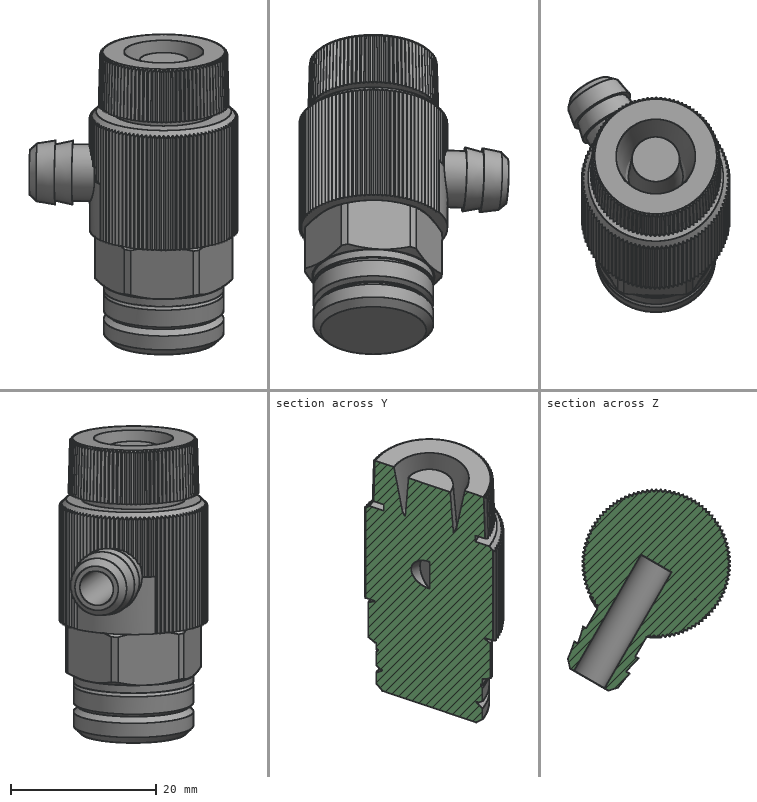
import cadquery as cq
import math

total_height = 41.4
spigot_top = 8.32
hex_top = 15.85
body_top = 32.85
cap_bottom = 33.85

spigot_radius = 8.3
end_chamfer = 1.0
lower_groove_bottom = 3.0
lower_groove_top = 4.25
lower_groove_wall_z = 3.75
lower_groove_radius = 7.3
groove_lip_radius = 7.65
upper_groove_bottom = 6.7
upper_groove_top = 7.2
upper_groove_radius = 7.95

hex_across_flats = 16.9
hex_turned_radius = 9.5
hex_chamfer_radius = 8.45
hex_chamfer_height = 0.6

body_radius = 10.23
body_chamfer = 0.9
body_teeth = 102
neck_radius = 7.12

cap_bottom_radius = 9.0
cap_top_radius = 8.78
cap_chamfer = 0.37
cap_teeth = 90
tooth_depth = 0.35

recess_top_radius = 5.45
recess_wall_radius = 4.15
recess_floor_radius = 3.75
recess_wall_depth = 7.55
recess_depth = 8.3
button_top_radius = 3.25
button_recess = 1.1

nozzle_angle = 240.0
nozzle_z = 23.9
nozzle_radius = 3.95
barb_radius = 4.45
barb_root_radius = 3.9
barb_starts = (12.55, 14.95)
nose_start = 17.47
nose_radius = 4.0
nozzle_tip_radius = 3.1
nozzle_length = 18.45
bore_radius = 2.4

pad_half_width = 5.6


def revolve_profile(points):
    """Turn a closed (radius, height) outline around the Z axis."""
    return cq.Workplane("XZ").polyline(points).close().revolve(360, (0, 0, 0), (0, 1, 0))


def knurl_points(tip_radius, teeth):
    """Star outline of V-shaped teeth with one tip on the +Y axis."""
    points = []
    for i in range(2 * teeth):
        radius = tip_radius - tooth_depth * (i % 2)
        angle = math.pi / 2 + math.pi * i / teeth
        points.append((radius * math.cos(angle), radius * math.sin(angle)))
    return points


def make_spigot():
    return revolve_profile([
        (0, 0),
        (spigot_radius - end_chamfer, 0),
        (spigot_radius, end_chamfer),
        (spigot_radius, lower_groove_bottom),
        (lower_groove_radius, lower_groove_wall_z),
        (groove_lip_radius, lower_groove_wall_z),
        (spigot_radius, lower_groove_top),
        (spigot_radius, upper_groove_bottom),
        (upper_groove_radius, upper_groove_top),
        (spigot_radius, upper_groove_top),
        (spigot_radius, spigot_top),
        (0, spigot_top),
    ])


def make_hex():
    across_corners = hex_across_flats / math.cos(math.pi / 6)
    prism = (
        cq.Workplane("XY", origin=(0, 0, spigot_top))
        .polygon(6, across_corners)
        .extrude(hex_top - spigot_top)
    )
    turned = revolve_profile([
        (0, spigot_top),
        (hex_chamfer_radius, spigot_top),
        (hex_turned_radius, spigot_top + hex_chamfer_height),
        (hex_turned_radius, hex_top - hex_chamfer_height),
        (hex_chamfer_radius, hex_top),
        (0, hex_top),
    ])
    return prism.intersect(turned)


def make_body():
    knurled = (
        cq.Workplane("XY", origin=(0, 0, hex_top))
        .polyline(knurl_points(body_radius, body_teeth)).close()
        .extrude(body_top - hex_top)
    )
    turned = revolve_profile([
        (0, hex_top),
        (body_radius, hex_top),
        (body_radius, body_top - body_chamfer),
        (body_radius - body_chamfer, body_top),
        (0, body_top),
    ])
    return knurled.intersect(turned)


def make_pad():
    """Smooth sector that fills the knurl from its lower end up to the nozzle axis."""
    height = nozzle_z - hex_top
    base = cq.Workplane("XY", origin=(0, 0, hex_top))
    block = (
        base.transformed(rotate=(0, 0, nozzle_angle))
        .center(body_radius / 2, 0)
        .rect(body_radius, 2 * pad_half_width)
        .extrude(height)
    )
    return base.circle(body_radius).extrude(height).intersect(block)


def make_cap():
    height = total_height - cap_bottom
    knurled = (
        cq.Workplane("XY", origin=(0, 0, cap_bottom))
        .polyline(knurl_points(cap_bottom_radius, cap_teeth)).close()
        .workplane(offset=height)
        .polyline(knurl_points(cap_top_radius, cap_teeth)).close()
        .loft(ruled=True)
    )
    turned = revolve_profile([
        (0, cap_bottom),
        (cap_bottom_radius, cap_bottom),
        (cap_bottom_radius, total_height - cap_chamfer),
        (cap_top_radius, total_height - cap_chamfer),
        (cap_top_radius - cap_chamfer, total_height),
        (0, total_height),
    ])
    return knurled.intersect(turned)


def make_recess():
    """Ring-shaped cavity that leaves the button standing in the middle."""
    button_top = total_height - button_recess
    return revolve_profile([
        (0, total_height),
        (recess_top_radius, total_height),
        (recess_wall_radius, total_height - recess_wall_depth),
        (recess_floor_radius, total_height - recess_depth),
        (button_top_radius, button_top),
        (0, button_top),
    ])


def along_nozzle(solid):
    """Move a solid turned around Z so that it points along the nozzle axis."""
    return (
        solid.rotate((0, 0, 0), (0, 1, 0), 90)
        .rotate((0, 0, 0), (0, 0, 1), nozzle_angle)
        .translate((0, 0, nozzle_z))
    )


def make_nozzle():
    first_barb, second_barb = barb_starts
    return along_nozzle(revolve_profile([
        (0, 0),
        (nozzle_radius, 0),
        (nozzle_radius, first_barb),
        (barb_radius, first_barb),
        (barb_root_radius, second_barb),
        (barb_radius, second_barb),
        (nose_radius, nose_start),
        (nozzle_tip_radius, nozzle_length),
        (0, nozzle_length),
    ]))


def make_bore():
    return along_nozzle(cq.Workplane("XY").circle(bore_radius).extrude(nozzle_length))


neck = cq.Workplane("XY", origin=(0, 0, body_top)).circle(neck_radius).extrude(cap_bottom - body_top)

result = (
    make_body()
    .union(make_pad())
    .union(make_spigot())
    .union(make_hex())
    .union(neck)
    .union(make_cap())
    .cut(make_recess())
    .union(make_nozzle())
    .cut(make_bore())
)